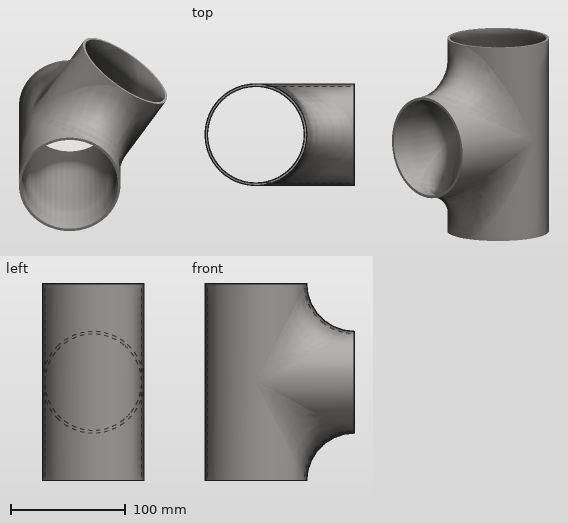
import cadquery as cq
import math

OUTER_DIAMETER = 88.9
WALL = 2.3
CENTRE_TO_END = 86.0

BLEND_STEPS = 24
HALF_TURN_STEPS = 48
SPLINE_TOLERANCE = 1e-5
SPLINE_MIN_DEGREE = 3
SPLINE_MAX_DEGREE = 8
SEWING_TOLERANCE = 1e-3

outer_radius = OUTER_DIAMETER / 2
inner_radius = outer_radius - WALL


def blend_point(radius, blend_angle, turn_angle):
    """Point on the blend: at each Y level it is the mid-plane arc, scaled toward the Y axis."""
    blend_radius = CENTRE_TO_END - radius
    scale = math.cos(turn_angle)
    return cq.Vector(
        scale * (CENTRE_TO_END - blend_radius * math.cos(blend_angle)),
        radius * math.sin(turn_angle),
        scale * (CENTRE_TO_END - blend_radius * math.sin(blend_angle)),
    )


def blend_face(radius):
    """Saddle between run and branch, tangent to both pipes, above the branch."""
    turn_angles = [math.pi * (i / HALF_TURN_STEPS - 0.5) for i in range(HALF_TURN_STEPS + 1)]
    blend_angles = [math.pi / 2 * i / BLEND_STEPS for i in range(BLEND_STEPS + 1)]
    points = [[blend_point(radius, blend, turn) for turn in turn_angles] for blend in blend_angles]
    return cq.Face.makeSplineApprox(
        points, tol=SPLINE_TOLERANCE, minDeg=SPLINE_MIN_DEGREE, maxDeg=SPLINE_MAX_DEGREE
    )


def mid_plane_wedge(corner):
    """Prism through the tee: a triangle from the Y axis to a corner and its mirror image below."""
    x, z = corner
    triangle = cq.Workplane("XZ").polyline([(0, 0), (x, z), (x, -z)]).close()
    return triangle.extrude(OUTER_DIAMETER, both=True)


def run_faces(radius):
    """Run pipe's wall and two ends, cut away where the blends and the branch take over."""
    run = cq.Workplane("XY", origin=(0, 0, -CENTRE_TO_END)).circle(radius).extrude(2 * CENTRE_TO_END)
    run = run.cut(mid_plane_wedge((radius, CENTRE_TO_END)))
    return run.faces("%CYLINDER").vals() + run.faces("|Z").vals()


def branch_faces(radius):
    """Branch pipe's wall and end, kept only beyond the blends."""
    branch = cq.Workplane("YZ").circle(radius).extrude(CENTRE_TO_END)
    branch = branch.intersect(mid_plane_wedge((CENTRE_TO_END, radius)))
    return branch.faces("%CYLINDER").vals() + branch.faces(">X").vals()


def tee_body(radius):
    """Solid tee of the given pipe radius, with a blend above and below the branch."""
    upper_blend = blend_face(radius)
    lower_blend = upper_blend.mirror("XY")
    skin = [*run_faces(radius), *branch_faces(radius), upper_blend, lower_blend]
    sewn_shell = cq.occ_impl.shapes.shell(*skin, tol=SEWING_TOLERANCE)
    return cq.Workplane(obj=cq.Solid.makeSolid(sewn_shell))


result = tee_body(outer_radius).cut(tee_body(inner_radius)).solids()